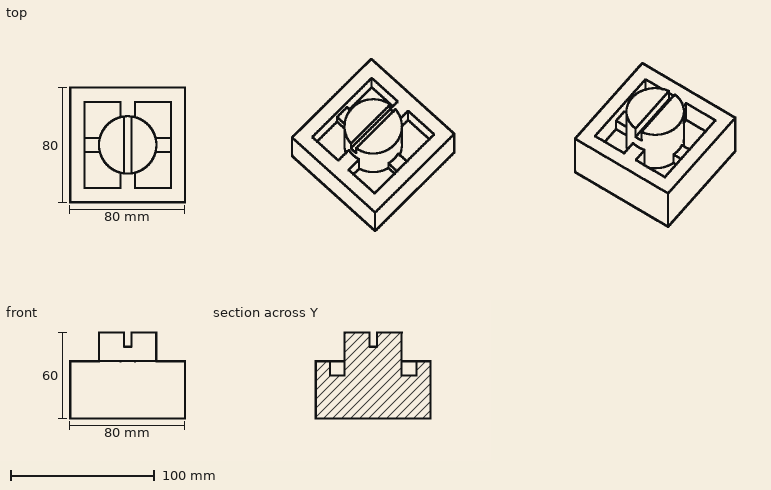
import cadquery as cq

box_side = 80.0
box_height = 40.0
wall = 10.0
floor_thickness = 20.0
cavity_side = box_side - 2 * wall

post_diameter = 40.0
post_height = 60.0
slot_width = 5.0
slot_depth = 10.0

rib_width = 10.0
high_rib_top = box_height
low_rib_top = 30.0


def block(x_size, y_size, bottom, top):
    """Block centred on the Z axis, spanning the heights bottom to top."""
    return (
        cq.Workplane("XY")
        .workplane(offset=bottom)
        .rect(x_size, y_size)
        .extrude(top - bottom)
    )


def open_box():
    outside = block(box_side, box_side, 0, box_height)
    cavity = block(cavity_side, cavity_side, floor_thickness, box_height)
    return outside.cut(cavity)


def ribs():
    """Two crossing ribs: the one along Y is flush with the rim, the one along X is lower."""
    high_rib = block(rib_width, cavity_side, floor_thickness, high_rib_top)
    low_rib = block(cavity_side, rib_width, floor_thickness, low_rib_top)
    return high_rib.union(low_rib)


def slotted_post():
    post = cq.Workplane("XY").circle(post_diameter / 2).extrude(post_height)
    slot = block(slot_width, post_diameter, post_height - slot_depth, post_height)
    return post.cut(slot)


result = open_box().union(ribs()).union(slotted_post())